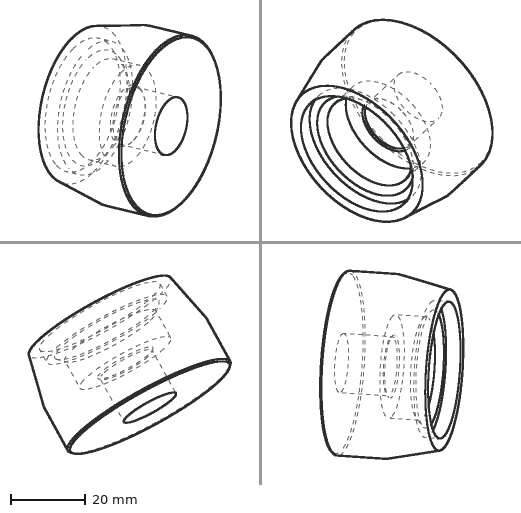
import cadquery as cq

length = 28.5
outer_radius = 50 / 2
nose_length = 14.5
nose_radius = 43.6 / 2
edge_chamfer = 0.5

recess_radius = 37 / 2
recess_depth = 4
taper_radius = 32 / 2
taper_depth = 2
cavity_radius = 28 / 2
cavity_depth = 14.5
bore_radius = 16 / 2
bore_chamfer = 0.5


def make_body():
    """Conical nose running into a cylinder with a chamfered rear edge."""
    profile = (
        cq.Workplane("XY")
        .lineTo(0, nose_radius)
        .lineTo(nose_length, outer_radius)
        .lineTo(length - edge_chamfer, outer_radius)
        .lineTo(length, outer_radius - edge_chamfer)
        .lineTo(length, 0)
        .close()
    )
    return profile.revolve(360, (0, 0, 0), (1, 0, 0))


def make_cavity():
    """Recess, tapered seat, cavity and chamfered bore as one solid of revolution."""
    outline = [
        (0, 0),
        (0, recess_radius),
        (recess_depth, recess_radius),
        (recess_depth, taper_radius),
        (recess_depth + taper_depth, cavity_radius),
        (cavity_depth, cavity_radius),
        (cavity_depth, bore_radius + bore_chamfer),
        (cavity_depth + bore_chamfer, bore_radius),
        (length, bore_radius),
        (length, 0),
    ]
    return cq.Workplane("XY").polyline(outline).close().revolve(360, (0, 0, 0), (1, 0, 0))


result = make_body().cut(make_cavity())